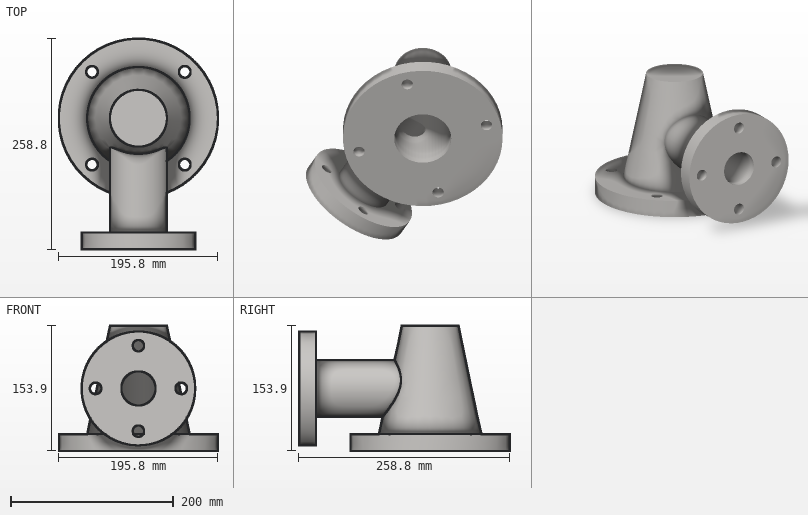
import cadquery as cq

total_height = 153.92
flange_thickness = 20.99
branch_wall = 13.99
hole_diameter = 13.99

base_diameter = 195.82
base_bolt_circle = 160.9

cone_bottom_diameter = 125.9
cone_top_diameter = 69.96
top_thickness = flange_thickness
chamber_diameter = cone_top_diameter

branch_diameter = cone_top_diameter
branch_length = 160.9
branch_axis_height = total_height / 2
branch_flange_diameter = 139.8
branch_bolt_circle = 104.9

bolt_count = 4
base_bolt_start_angle = 45
branch_bolt_start_angle = 0

cone_height = total_height - flange_thickness
chamber_height = total_height - top_thickness
bore_diameter = branch_diameter - 2 * branch_wall

branch_plane = cq.Workplane("XZ", origin=(0, 0, branch_axis_height))


def bolted_flange(plane, diameter, bolt_circle, start_angle):
    """Disc with a ring of through holes, extruded along the plane's normal."""
    disc = plane.circle(diameter / 2).extrude(flange_thickness)
    holes = (
        plane.polarArray(bolt_circle / 2, start_angle, 360, bolt_count)
        .circle(hole_diameter / 2)
        .extrude(flange_thickness)
    )
    return disc.cut(holes)


def cone_body():
    """Solid frustum about the Z axis, standing on top of the base flange."""
    return (
        cq.Workplane("XY")
        .workplane(offset=flange_thickness)
        .circle(cone_bottom_diameter / 2)
        .workplane(offset=cone_height)
        .circle(cone_top_diameter / 2)
        .loft(ruled=True)
    )


def outer_body():
    """Base flange, cone, branch pipe and branch flange, all solid inside."""
    base = bolted_flange(cq.Workplane("XY"), base_diameter, base_bolt_circle, base_bolt_start_angle)
    pipe = branch_plane.circle(branch_diameter / 2).extrude(branch_length)
    flange_plane = branch_plane.workplane(offset=branch_length - flange_thickness)
    branch_flange = bolted_flange(
        flange_plane, branch_flange_diameter, branch_bolt_circle, branch_bolt_start_angle
    )
    return base.union(cone_body()).union(pipe).union(branch_flange)


def cavity():
    """Cylindrical chamber closed at the top, open through the base, joined by the branch bore."""
    chamber = cq.Workplane("XY").circle(chamber_diameter / 2).extrude(chamber_height)
    bore = branch_plane.circle(bore_diameter / 2).extrude(branch_length)
    return chamber.union(bore)


result = outer_body().cut(cavity())